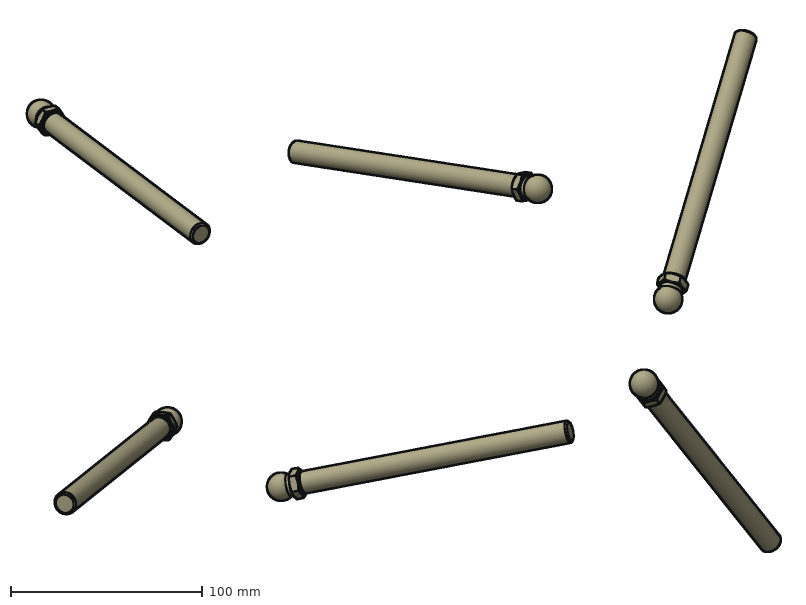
import cadquery as cq
import math

total_length = 169.0
ball_diameter = 15.0
rod_diameter = 12.0
end_chamfer = 1.0

relief_depth = 0.2
relief_end = 20.1

hex_across_flats = 14.0
hex_start = 14.4
hex_width = 4.7
hex_chamfer_angle = 30.0

ball_radius = ball_diameter / 2
rod_radius = rod_diameter / 2
hex_corner_radius = hex_across_flats / math.sqrt(3)
hex_end = hex_start + hex_width


def make_ball():
    """Ball revolved about the rod axis."""
    return (
        cq.Workplane("XY")
        .moveTo(0, 0)
        .threePointArc((ball_radius, ball_radius), (ball_diameter, 0))
        .close()
        .revolve(360, (0, 0, 0), (1, 0, 0))
    )


def make_rod():
    """Plain rod from the ball centre to the chamfered free end."""
    return (
        cq.Workplane("YZ", origin=(ball_radius, 0, 0))
        .circle(rod_radius)
        .extrude(total_length - ball_radius)
        .faces(">X")
        .chamfer(end_chamfer)
    )


def make_hex_collar():
    """Hexagon whose corners are turned off by a cone on both faces."""
    hexagon = (
        cq.Workplane("YZ", origin=(hex_start, 0, 0))
        .polygon(6, 2 * hex_corner_radius)
        .extrude(hex_width)
    )
    face_radius = hex_across_flats / 2
    corner_drop = (hex_corner_radius - face_radius) * math.tan(math.radians(hex_chamfer_angle))
    turned_envelope = (
        cq.Workplane("XY")
        .moveTo(hex_start, 0)
        .lineTo(hex_start, face_radius)
        .lineTo(hex_start + corner_drop, hex_corner_radius)
        .lineTo(hex_end - corner_drop, hex_corner_radius)
        .lineTo(hex_end, face_radius)
        .lineTo(hex_end, 0)
        .close()
        .revolve(360, (0, 0, 0), (1, 0, 0))
    )
    return hexagon.intersect(turned_envelope)


def make_relief():
    """Ring removed from the rod between the collar and the long shank."""
    return (
        cq.Workplane("YZ", origin=(hex_end, 0, 0))
        .circle(rod_radius)
        .circle(rod_radius - relief_depth)
        .extrude(relief_end - hex_end)
    )


result = make_rod().cut(make_relief()).union(make_ball()).union(make_hex_collar())